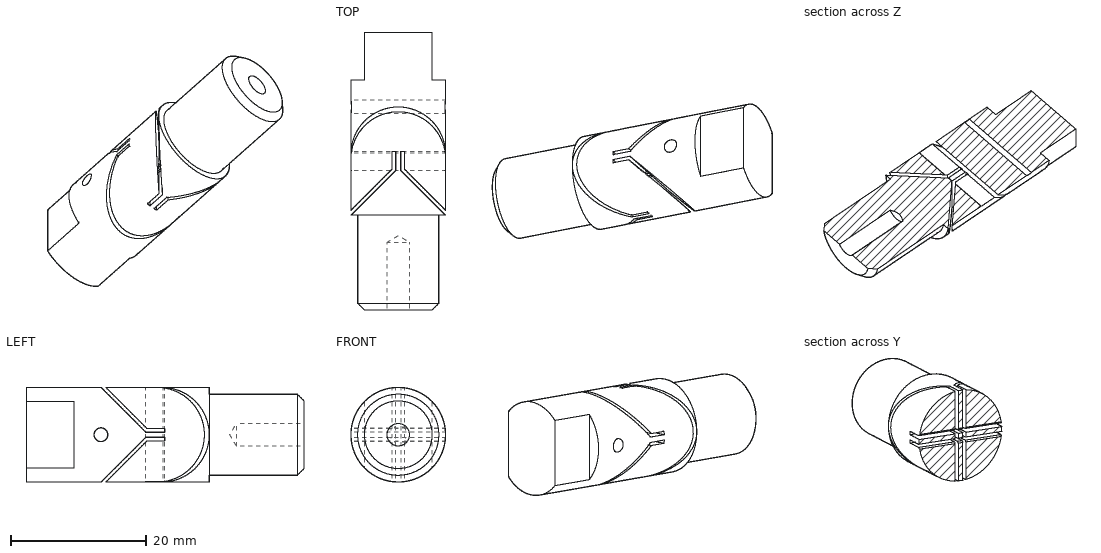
import cadquery as cq
import math

BODY_DIAMETER = 14.0
BODY_LENGTH = 27.0
SHANK_DIAMETER = 12.0
SHANK_LENGTH = 14.0
SHANK_CHAMFER = 1.0

TANG_WIDTH = 10.0
TANG_LENGTH = 7.0

CENTRE_HOLE_DIAMETER = 3.3
CENTRE_HOLE_DEPTH = 10.0
DRILL_POINT_ANGLE = 118.0

PIN_HOLE_DIAMETER = 2.0
PIN_HOLE_Y = 16.0

WEB_THICKNESS = 0.8
SLOT_WIDTH = 0.5
FLEXURE_CENTRE_Y = 8.0
SHOULDER_RIM = 0.01
FLARE_ANGLE = 45.0

BODY_RADIUS = BODY_DIAMETER / 2
CUT_MARGIN = 1.0
CUT_REACH = BODY_RADIUS + CUT_MARGIN


def cylinder_along_y(diameter, start_y, length):
    plane = cq.Workplane("XZ", origin=(0, start_y, 0))
    return plane.circle(diameter / 2).extrude(-length)


def make_blank():
    body = cylinder_along_y(BODY_DIAMETER, 0, BODY_LENGTH)
    shank = cylinder_along_y(SHANK_DIAMETER, -SHANK_LENGTH, SHANK_LENGTH)
    shank = shank.faces("<Y").chamfer(SHANK_CHAMFER)
    return body.union(shank)


def make_tang_cuts():
    """Material removed on both sides of the tang."""
    stock = cq.Workplane("XY").box(2 * CUT_REACH, TANG_LENGTH, 2 * CUT_REACH)
    tang = cq.Workplane("XY").box(TANG_WIDTH, TANG_LENGTH, 2 * CUT_REACH)
    return stock.cut(tang).translate((0, BODY_LENGTH - TANG_LENGTH / 2, 0))


def make_centre_hole():
    radius = CENTRE_HOLE_DIAMETER / 2
    tip_length = radius / math.tan(math.radians(DRILL_POINT_ANGLE / 2))
    floor_y = CENTRE_HOLE_DEPTH - SHANK_LENGTH
    half_profile = (
        cq.Workplane("XY")
        .moveTo(0, -SHANK_LENGTH)
        .lineTo(radius, -SHANK_LENGTH)
        .lineTo(radius, floor_y)
        .lineTo(0, floor_y + tip_length)
        .close()
    )
    return half_profile.revolve(360, (0, 0, 0), (0, 1, 0))


def make_pin_hole():
    plane = cq.Workplane("YZ").center(PIN_HOLE_Y, 0)
    return plane.circle(PIN_HOLE_DIAMETER / 2).extrude(CUT_REACH, both=True)


def make_shank_side_slots():
    """Pair of bent slots cut through along Z, flaring toward the shank."""
    web_x = WEB_THICKNESS / 2
    outer_x = web_x + SLOT_WIDTH
    flare_x = CUT_REACH
    flare_slope = math.tan(math.radians(FLARE_ANGLE))
    wedge_bend_y = SHOULDER_RIM + (BODY_RADIUS - web_x) / flare_slope
    web_end_y = 2 * FLEXURE_CENTRE_Y - wedge_bend_y
    outer_bend_y = wedge_bend_y + SLOT_WIDTH * math.tan(math.radians(FLARE_ANGLE / 2))
    slot = (
        cq.Workplane("XY")
        .moveTo(web_x, web_end_y)
        .lineTo(web_x, wedge_bend_y)
        .lineTo(flare_x, wedge_bend_y - (flare_x - web_x) / flare_slope)
        .lineTo(flare_x, outer_bend_y - (flare_x - outer_x) / flare_slope)
        .lineTo(outer_x, outer_bend_y)
        .lineTo(outer_x, web_end_y)
        .close()
        .extrude(CUT_REACH, both=True)
    )
    return slot.union(slot.mirror("YZ"))


def make_tang_side_slots():
    """The same pair turned end for end about the flexure centre and a quarter turn about Y."""
    pair = make_shank_side_slots()
    centre = (0, FLEXURE_CENTRE_Y, 0)
    pair = pair.rotate(centre, (0, FLEXURE_CENTRE_Y, 1), 180)
    return pair.rotate((0, 0, 0), (0, 1, 0), 90)


result = (
    make_blank()
    .cut(make_tang_cuts())
    .cut(make_centre_hole())
    .cut(make_pin_hole())
    .cut(make_shank_side_slots())
    .cut(make_tang_side_slots())
)